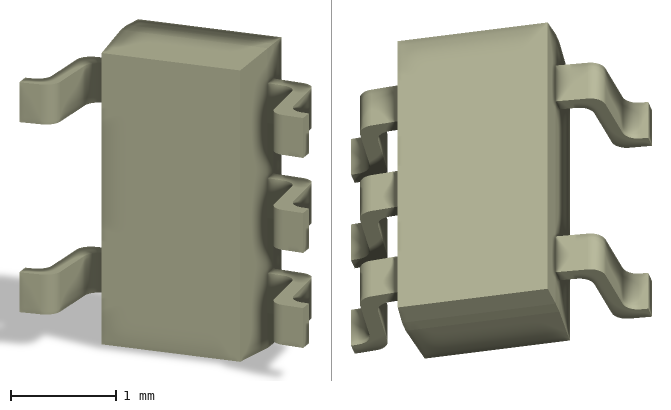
import cadquery as cq
import math

body_width = 1.5
body_length = 3.0
lower_height = 0.6
band_height = 0.15
upper_height = 0.252
draft_angle = 4.0

lead_span = 2.9
lead_thickness = 0.15
lead_width = 0.4
lead_pitch = 0.95
lead_tilt = 4.0
shank_reach = 1.188
bend_radius = 0.15
standoff = 0.25

band_bottom = standoff + lower_height
band_top = band_bottom + band_height
slope = math.tan(math.radians(lead_tilt))


def body_section(y, height, taper):
    """Rectangular slab from y, growing by the signed height along Y."""
    return (
        cq.Workplane("XZ", origin=(0, y, 0))
        .rect(body_width, body_length)
        .extrude(-height, taper=taper)
    )


def make_body():
    band = body_section(band_bottom, band_height, 0)
    upper = body_section(band_top, upper_height, draft_angle)
    lower = body_section(band_bottom, -lower_height, draft_angle)
    return band.union(upper).union(lower)


def make_lead(z):
    """Lead on the +X side, centred at height z."""
    root_x = body_width / 2
    tip_x = lead_span / 2
    axial_thickness = lead_thickness / math.cos(math.radians(lead_tilt))

    shoulder_y = band_top - slope * (shank_reach - root_x)

    def corner(shank_x, edge_x, edge_y):
        """Meet the shank side through (shank_x, shoulder_y) with an edge falling outward."""
        rise = edge_y - shoulder_y + slope * edge_x
        x = (shank_x - slope * rise) / (1 - slope**2)
        return x, edge_y - slope * (x - edge_x)

    inner_reach = shank_reach - axial_thickness
    outer_shoulder = (shank_reach, shoulder_y)
    inner_shoulder = corner(inner_reach, root_x, band_top - axial_thickness)
    outer_foot = corner(shank_reach, tip_x, axial_thickness)
    inner_foot = corner(inner_reach, tip_x, 0)

    strip = (
        cq.Workplane("XY", origin=(0, 0, z - lead_width / 2))
        .moveTo(0, band_top)
        .lineTo(root_x, band_top)
        .lineTo(*outer_shoulder)
        .lineTo(*outer_foot)
        .lineTo(tip_x, axial_thickness)
        .lineTo(tip_x, 0)
        .lineTo(*inner_foot)
        .lineTo(*inner_shoulder)
        .lineTo(root_x, band_top - axial_thickness)
        .lineTo(0, band_top - axial_thickness)
        .close()
        .extrude(lead_width)
    )
    bends = cq.Workplane("XY")
    for x, y in (outer_shoulder, inner_shoulder, outer_foot, inner_foot):
        bends = bends.add(strip.edges(cq.selectors.NearestToPointSelector((x, y, z))))
    return strip.newObject(bends.vals()).fillet(bend_radius)


result = make_body()

for z in (-lead_pitch, 0, lead_pitch):
    result = result.union(make_lead(z))

for z in (-lead_pitch, lead_pitch):
    result = result.union(make_lead(z).mirror("YZ"))